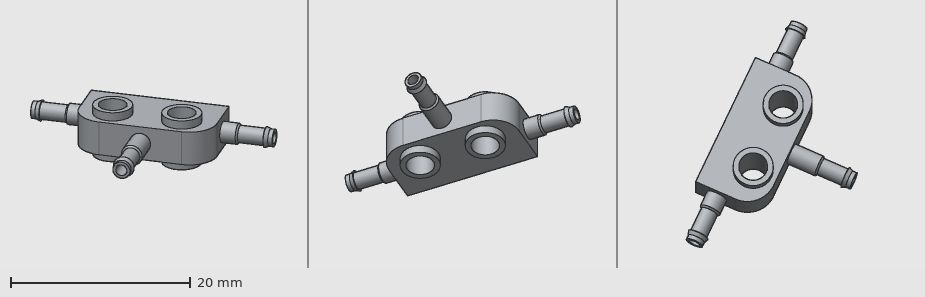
import cadquery as cq

body_length = 16.0
body_depth = 8.1
body_height = 4.0
corner_radius = 3.2

boss_diameter = 4.48
boss_hole_diameter = 3.2
boss_height = 6.0
boss_spacing = 8.0
boss_setback = 5.25

overall_length = 28.0
overall_depth = 15.7
side_barb_setback = 2.6
collar_diameter = 2.4
neck_diameter = 2.0
bore_diameter = 1.3

tip_length = 0.5
barb_end = 1.0
neck_end = 4.0

side_barb_length = (overall_length - body_length) / 2
front_barb_length = overall_depth - body_depth


def make_body():
    block = cq.Workplane("XY").box(body_length, body_depth, body_height)
    block = block.edges("|Z and <Y").fillet(corner_radius)
    return block.translate((0, -body_depth / 2, 0))


def make_barb(length):
    """Solid hose barb along +Z, from its root at Z = 0 to its free end."""
    collar_radius = collar_diameter / 2
    neck_radius = neck_diameter / 2
    collar_chamfer = collar_radius - neck_radius
    profile = [
        (0, 0),
        (collar_radius, 0),
        (collar_radius, length - neck_end - collar_chamfer),
        (neck_radius, length - neck_end),
        (neck_radius, length - barb_end),
        (collar_radius, length - barb_end),
        (neck_radius, length - tip_length),
        (neck_radius, length),
        (0, length),
    ]
    outline = cq.Workplane("XZ").polyline(profile).close()
    return outline.revolve(360, (0, 0, 0), (0, 1, 0))


def boss_cylinders(diameter):
    centers = [(-boss_spacing / 2, -boss_setback), (boss_spacing / 2, -boss_setback)]
    plane = cq.Workplane("XY").pushPoints(centers)
    return plane.circle(diameter / 2).extrude(boss_height / 2, both=True)


def make_bores():
    """Side-to-side passage joined by a branch from the front barb."""
    passage = (
        cq.Workplane("YZ")
        .center(-side_barb_setback, 0)
        .circle(bore_diameter / 2)
        .extrude(overall_length / 2, both=True)
    )
    branch = (
        cq.Workplane("XZ", origin=(0, -side_barb_setback, 0))
        .circle(bore_diameter / 2)
        .extrude(overall_depth - side_barb_setback)
    )
    return passage.union(branch)


result = make_body().union(boss_cylinders(boss_diameter))

for side in (-1, 1):
    side_barb = make_barb(side_barb_length).rotate((0, 0, 0), (0, 1, 0), side * 90)
    result = result.union(side_barb.translate((side * body_length / 2, -side_barb_setback, 0)))

front_barb = make_barb(front_barb_length).rotate((0, 0, 0), (1, 0, 0), 90)
result = result.union(front_barb.translate((0, -body_depth, 0)))

result = result.cut(boss_cylinders(boss_hole_diameter)).cut(make_bores())